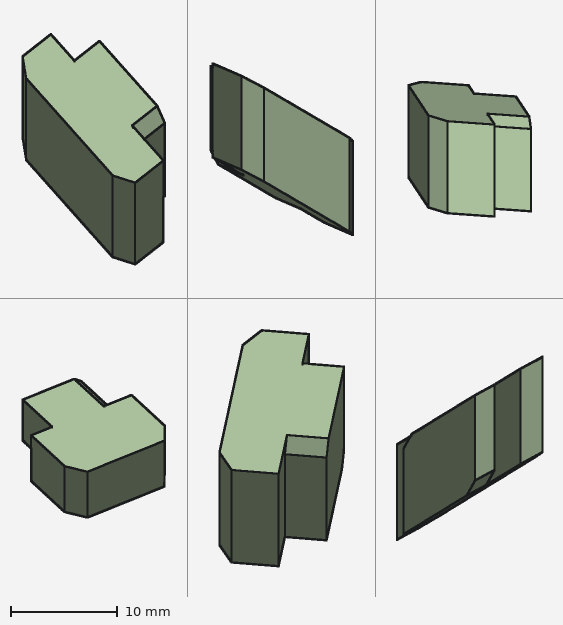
import cadquery as cq
import math

width = 13.0
height = 18.38
depth = 10.0
slant = math.radians(35)

head_depth = 6.01
head_chamfer = 1.5
stem_width = 7.55
corner_cut_x = 0.88
corner_cut_side = 0.97

side_height = height - width * math.tan(slant)


def edge_height(x):
    """Height of the slanted top edge at x; the bottom edge is its mirror through the centre."""
    return side_height / 2 - x * math.tan(slant)


def slanted_head():
    """Chamfered plan outline, cut to the slanted top and bottom planes."""
    half = width / 2
    outline = [
        (-half, head_depth),
        (-half, head_chamfer),
        (-half + head_chamfer, 0),
        (half - head_chamfer, 0),
        (half, head_chamfer),
        (half, head_depth),
    ]
    block = cq.Workplane("XY").polyline(outline).close().extrude(height / 2, both=True)
    envelope = (
        cq.Workplane("XZ")
        .polyline([
            (-half, edge_height(-half)),
            (half, edge_height(half)),
            (half, -edge_height(-half)),
            (-half, -edge_height(half)),
        ])
        .close()
        .extrude(-head_depth)
    )
    return block.intersect(envelope)


def slanted_stem():
    """Slanted block behind the head with its two blunt corners cut off."""
    half = stem_width / 2
    cut_start = half - corner_cut_x
    upper_half = [
        (-half, edge_height(-half)),
        (cut_start, edge_height(cut_start)),
        (half, edge_height(half) - corner_cut_side),
    ]
    lower_half = [(-x, -z) for x, z in upper_half]
    return (
        cq.Workplane("XZ", origin=(0, head_depth, 0))
        .polyline(upper_half + lower_half)
        .close()
        .extrude(head_depth - depth)
    )


result = slanted_head().union(slanted_stem())